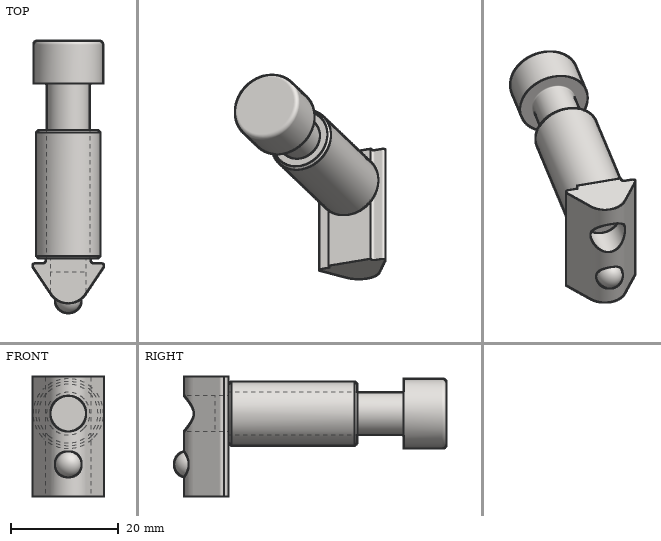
import cadquery as cq
import math

LENGTH = 50.65
HEAD_TOP_Y = LENGTH / 2
BALL_TIP_Y = -LENGTH / 2

SCREW_Z = 4.25
HEAD_DIAMETER = 13.0
HEAD_LENGTH = 8.0
HEAD_FILLET = 0.8
SHANK_DIAMETER = 8.0
UNDERHEAD_DIAMETER = 8.4
UNDERHEAD_FILLET = (UNDERHEAD_DIAMETER - SHANK_DIAMETER) / 2
SCREW_LENGTH = 35.0
HEAD_SEAT_Y = HEAD_TOP_Y - HEAD_LENGTH
SCREW_END_Y = HEAD_SEAT_Y - SCREW_LENGTH

SLEEVE_DIAMETER = 12.0
SLEEVE_LENGTH = 23.9
SLEEVE_CHAMFER = 0.5

NUT_WIDTH = 13.35
NUT_HEIGHT = 22.3
NUT_DEPTH = 8.3
NUT_TOP_Y = -15.15
NECK_WIDTH = 8.4
NECK_HEIGHT = 0.85
NECK_FILLET = 0.5
SHOULDER_RADIUS = 0.5
NOSE_RADIUS = 3.95
NUT_HOLE_DIAMETER = 6.65
BALL_DIAMETER = 5.0
BALL_Z = -5.15
NUT_TIP_Y = NUT_TOP_Y - NUT_DEPTH


def cylinder(diameter, start_y, end_y):
    """Cylinder on the screw axis, running from start_y towards -Y to end_y."""
    base = cq.Workplane("XZ", origin=(0, start_y, SCREW_Z))
    return base.circle(diameter / 2).extrude(start_y - end_y)


def make_screw():
    """Cap screw whose end is reduced where it enters the nut."""
    head = cylinder(HEAD_DIAMETER, HEAD_TOP_Y, HEAD_SEAT_Y).faces(">Y").edges().fillet(HEAD_FILLET)
    shank = cylinder(SHANK_DIAMETER, HEAD_SEAT_Y, NUT_TOP_Y)
    threaded_end = cylinder(NUT_HOLE_DIAMETER, NUT_TOP_Y, SCREW_END_Y)
    screw = head.union(shank).union(threaded_end)

    on_seat = cq.selectors.BoxSelector(
        (-HEAD_DIAMETER, HEAD_SEAT_Y - UNDERHEAD_FILLET, SCREW_Z - HEAD_DIAMETER),
        (HEAD_DIAMETER, HEAD_SEAT_Y + UNDERHEAD_FILLET, SCREW_Z + HEAD_DIAMETER),
    )
    seat_circles = screw.edges("%CIRCLE").edges(on_seat)
    return seat_circles.edges(cq.selectors.RadiusNthSelector(0)).fillet(UNDERHEAD_FILLET)


def make_sleeve():
    """Plain sleeve chamfered at both outer rims and bored to fit the shank."""
    end_y = NUT_TOP_Y
    start_y = end_y + SLEEVE_LENGTH
    sleeve = cylinder(SLEEVE_DIAMETER, start_y, end_y).faces("<Y or >Y").edges().chamfer(SLEEVE_CHAMFER)
    return sleeve.cut(cylinder(SHANK_DIAMETER, start_y, end_y))


def nut_profile():
    """Neck, rounded shoulders, and flanks tangent to the round nose."""
    neck_x = NECK_WIDTH / 2
    shoulder_y = NUT_TOP_Y - NECK_HEIGHT
    corner_x = NUT_WIDTH / 2 - SHOULDER_RADIUS
    corner_y = shoulder_y - SHOULDER_RADIUS
    nose_y = NUT_TIP_Y + NOSE_RADIUS

    rise = corner_y - nose_y
    centre_distance = math.hypot(corner_x, rise)
    flank_angle = math.acos((NOSE_RADIUS - SHOULDER_RADIUS) / centre_distance) - math.atan2(rise, corner_x)
    normal_x = math.cos(flank_angle)
    normal_y = -math.sin(flank_angle)
    flank_top = (corner_x + SHOULDER_RADIUS * normal_x, corner_y + SHOULDER_RADIUS * normal_y)
    flank_end = (NOSE_RADIUS * normal_x, nose_y + NOSE_RADIUS * normal_y)

    def mirrored(point):
        return (-point[0], point[1])

    shoulder_start = (corner_x, shoulder_y)
    shoulder_side = (NUT_WIDTH / 2, corner_y)
    return (
        cq.Workplane("XY")
        .moveTo(-neck_x, NUT_TOP_Y)
        .lineTo(neck_x, NUT_TOP_Y)
        .lineTo(neck_x, shoulder_y)
        .lineTo(*shoulder_start)
        .threePointArc(shoulder_side, flank_top)
        .lineTo(*flank_end)
        .threePointArc((0, NUT_TIP_Y), mirrored(flank_end))
        .lineTo(*mirrored(flank_top))
        .threePointArc(mirrored(shoulder_side), mirrored(shoulder_start))
        .lineTo(-neck_x, shoulder_y)
        .close()
    )


def make_nut():
    """Slot nut with a through hole for the screw and a ball on its nose."""
    nut = nut_profile().extrude(NUT_HEIGHT / 2, both=True)
    shoulder_y = NUT_TOP_Y - NECK_HEIGHT
    for side in (-1, 1):
        neck_corner = (side * NECK_WIDTH / 2, shoulder_y, 0)
        nut = nut.edges(cq.selectors.NearestToPointSelector(neck_corner)).fillet(NECK_FILLET)
    nut = nut.cut(cylinder(NUT_HOLE_DIAMETER, NUT_TOP_Y, NUT_TIP_Y))
    ball_centre = (0, BALL_TIP_Y + BALL_DIAMETER / 2, BALL_Z)
    ball = cq.Workplane("XY").sphere(BALL_DIAMETER / 2).translate(ball_centre)
    return nut.union(ball)


screw = make_screw()
sleeve = make_sleeve()
nut = make_nut()

result = cq.Compound.makeCompound([screw.val(), sleeve.val(), nut.val()])